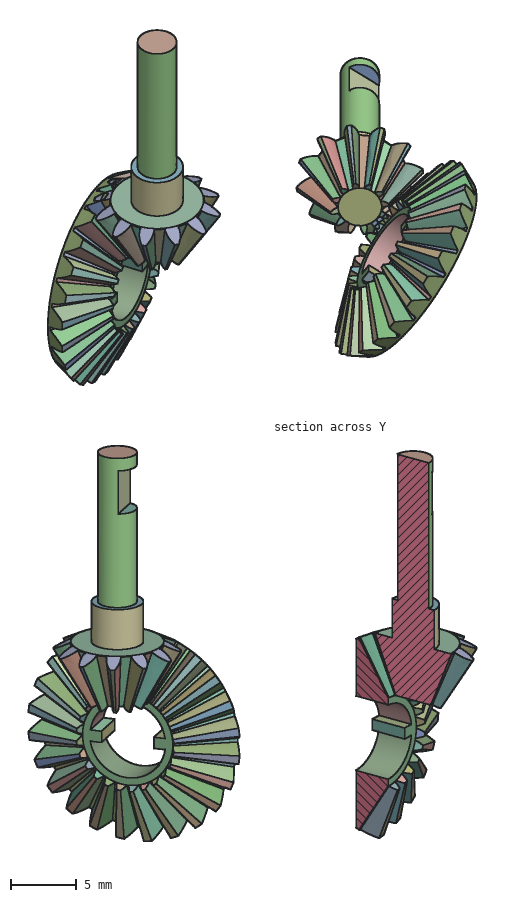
import cadquery as cq
import math


MODULE = 0.7
PINION_TEETH = 12
WHEEL_TEETH = 24
PRESSURE_ANGLE = math.radians(25)
CONE_DISTANCE = MODULE * math.hypot(PINION_TEETH, WHEEL_TEETH) / 2
INNER_RATIO = 0.46
OVERRUN = 0.1

PINION_ADDENDUM = 0.78
PINION_DEDENDUM = 0.65
PINION_TOOTH_THICKNESS = 0.98
PINION_BACK_HEIGHT = 8.73
COLLAR_RADIUS = 2.0
COLLAR_TOP = 11.95
SHAFT_RADIUS = 1.5
SHAFT_TOP = 24.0
NOTCH_FLOOR = 0.55
NOTCH_TOP_MARGIN = 1.0
NOTCH_LENGTH = 3.5

WHEEL_ADDENDUM = 0.45
WHEEL_DEDENDUM = 1.0
WHEEL_TOOTH_THICKNESS = 1.07
WHEEL_BACK_HEIGHT = 5.4
BORE_RADIUS = 3.05
KEY_TIP_RADIUS = 2.12
KEY_WIDTH = 0.9


def back_cone_point(cone_angle, offset, scale=1.0):
    """(radius, height) of the point lying `offset` outside the pitch cone, on its back cone."""
    radius = CONE_DISTANCE * math.sin(cone_angle) + offset * math.cos(cone_angle)
    height = CONE_DISTANCE * math.cos(cone_angle) - offset * math.sin(cone_angle)
    return scale * radius, scale * height


def revolve_profile(points):
    """Solid of revolution about Z from (radius, height) points."""
    outline = [(-radius, height) for radius, height in points]
    return cq.Workplane("XZ").polyline(outline).close().revolve(360, (0, 0, 0), (0, 1, 0))


def half_space_width(virtual_radius, tooth_thickness, offset):
    """Half the width of the space between involute teeth, `offset` outside the pitch circle."""
    radius = virtual_radius + offset
    base_radius = virtual_radius * math.cos(PRESSURE_ANGLE)
    pressure = math.acos(min(1, base_radius / radius))
    involute_change = math.tan(pressure) - pressure - math.tan(PRESSURE_ANGLE) + PRESSURE_ANGLE
    half_angle = (math.pi * MODULE - tooth_thickness) / 2 / virtual_radius + involute_change
    return radius * math.sin(half_angle)


def tooth_space(cone_angle, tooth_thickness, root, tip):
    """Cutter for one tooth space, tapering towards the apex, on the +X side of the axis."""
    virtual_radius = CONE_DISTANCE * math.tan(cone_angle)
    offsets = [root, (root + tip) / 2, tip]
    widths = [half_space_width(virtual_radius, tooth_thickness, offset) for offset in offsets]

    def section(scale):
        def flank(side):
            points = []
            for offset, width in zip(offsets, widths):
                radius, height = back_cone_point(cone_angle, offset, scale)
                points.append(cq.Vector(radius, side * scale * width, height))
            return points

        left = flank(1)
        right = flank(-1)
        return cq.Wire.assembleEdges([
            cq.Edge.makeThreePointArc(*left),
            cq.Edge.makeLine(left[-1], right[-1]),
            cq.Edge.makeThreePointArc(*reversed(right)),
            cq.Edge.makeLine(right[0], left[0]),
        ])

    return cq.Solid.makeLoft([section(INNER_RATIO - OVERRUN), section(1 + OVERRUN)], True)


def bevel_gear(teeth, cone_angle, addendum, dedendum, thickness, back_height):
    """Toothed body about +Z with its apex at the origin and a flat back at `back_height`."""
    root_inner = back_cone_point(cone_angle, -dedendum, INNER_RATIO)
    tip_inner = back_cone_point(cone_angle, addendum, INNER_RATIO)
    tip_outer = back_cone_point(cone_angle, addendum)
    back_radius = tip_outer[0] - (back_height - tip_outer[1]) / math.tan(cone_angle)
    blank = revolve_profile([
        (0, root_inner[1]),
        root_inner,
        tip_inner,
        tip_outer,
        (back_radius, back_height),
        (0, back_height),
    ])
    space = tooth_space(cone_angle, thickness, -dedendum, addendum + OVERRUN * MODULE)
    spaces = [
        space.rotate(cq.Vector(0, 0, 0), cq.Vector(0, 0, 1), index * 360 / teeth)
        for index in range(teeth)
    ]
    return cq.Workplane(obj=blank.val().cut(*spaces))


def make_pinion():
    cone_angle = math.atan(PINION_TEETH / WHEEL_TEETH)
    gear = bevel_gear(
        PINION_TEETH, cone_angle, PINION_ADDENDUM, PINION_DEDENDUM,
        PINION_TOOTH_THICKNESS, PINION_BACK_HEIGHT,
    )
    stem = revolve_profile([
        (0, PINION_BACK_HEIGHT),
        (COLLAR_RADIUS, PINION_BACK_HEIGHT),
        (COLLAR_RADIUS, COLLAR_TOP),
        (SHAFT_RADIUS, COLLAR_TOP),
        (SHAFT_RADIUS, SHAFT_TOP),
        (0, SHAFT_TOP),
    ])
    notch = (
        cq.Workplane("XY", origin=(0, NOTCH_FLOOR, SHAFT_TOP - NOTCH_TOP_MARGIN - NOTCH_LENGTH))
        .box(2 * SHAFT_RADIUS, SHAFT_RADIUS, NOTCH_LENGTH, centered=(True, False, False))
    )
    return gear.union(stem.cut(notch))


def make_wheel():
    cone_angle = math.atan(WHEEL_TEETH / PINION_TEETH)
    gear = bevel_gear(
        WHEEL_TEETH, cone_angle, WHEEL_ADDENDUM, WHEEL_DEDENDUM,
        WHEEL_TOOTH_THICKNESS, WHEEL_BACK_HEIGHT,
    )
    bore = cq.Workplane("XY").circle(BORE_RADIUS).extrude(WHEEL_BACK_HEIGHT)
    key_length = BORE_RADIUS - KEY_TIP_RADIUS
    keys = (
        cq.Workplane("XY")
        .pushPoints([(0, side * (KEY_TIP_RADIUS + key_length / 2)) for side in (-1, 1)])
        .rect(KEY_WIDTH, key_length)
        .extrude(WHEEL_BACK_HEIGHT)
    )
    return gear.cut(bore.cut(keys)).rotate((0, 0, 0), (0, 1, 0), -90)


pinion = make_pinion()
wheel = make_wheel().cut(pinion)
result = cq.Compound.makeCompound([pinion.solids().val(), wheel.solids().val()])